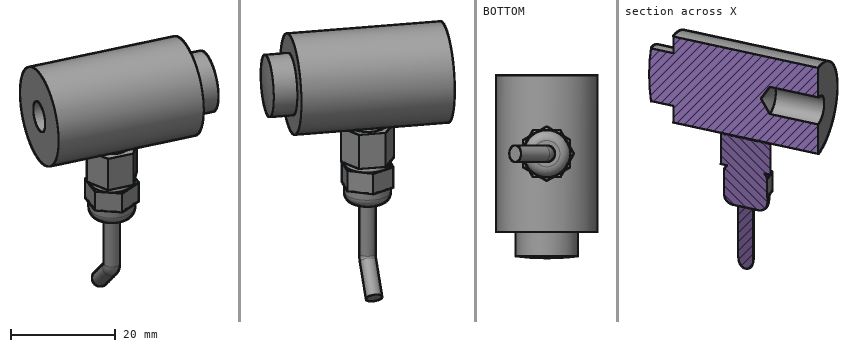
import cadquery as cq
import math

housing_diameter = 19.5
housing_length = 30.0
button_diameter = 12.0
button_length = 4.6
dome_height = 0.4
bore_diameter = 6.0
bore_depth = 10.0
bore_tip_angle = 118.0

gland_y = housing_length / 2
seat_top_radius = 3.1
seat_base_radius = 3.4
hex_across_flats = 9.0
fitting_height = 7.0
neck_top_radius = 3.85
neck_base_radius = 4.4
neck_height = 0.95
nut_height = 4.2
cap_diameter = 9.03
cap_height = 3.45
cap_rounding = 2.0

cable_diameter = 3.2
cable_bend_radius = 2.0
cable_bend_angle = 45.0
cable_tail_length = 7.7
cable_drop = 26.28

housing_bottom = -housing_diameter / 2
fitting_bottom = housing_bottom - fitting_height
nut_top = fitting_bottom - neck_height
nut_bottom = nut_top - nut_height
cap_bottom = nut_bottom - cap_height
bend_start = housing_bottom - cable_drop
seat_height = housing_diameter / 2 - math.sqrt((housing_diameter / 2) ** 2 - seat_base_radius ** 2)


def make_housing():
    """Cylinder with a domed button on its back and a drilled blind hole in its front."""
    button_end = housing_length + button_length
    bore_radius = bore_diameter / 2
    bore_tip = bore_depth + bore_radius / math.tan(math.radians(bore_tip_angle / 2))
    button_radius = button_diameter / 2
    dome_radius = (button_radius ** 2 + dome_height ** 2) / (2 * dome_height)
    dome_tip = button_end + dome_height
    half_radius = button_radius / 2
    half_y = dome_tip - dome_radius + math.sqrt(dome_radius ** 2 - half_radius ** 2)
    half_section = (
        cq.Workplane("XY")
        .moveTo(0, bore_tip)
        .lineTo(bore_radius, bore_depth)
        .lineTo(bore_radius, 0)
        .lineTo(housing_diameter / 2, 0)
        .lineTo(housing_diameter / 2, housing_length)
        .lineTo(button_radius, housing_length)
        .lineTo(button_radius, button_end)
        .threePointArc((half_radius, half_y), (0, dome_tip))
        .close()
    )
    return half_section.revolve(360, (0, 0, 0), (0, 1, 0))


def gland_plane(level):
    """Horizontal work plane centred on the gland axis."""
    return cq.Workplane("XY", origin=(0, gland_y, level))


def make_hexagon(bottom, height, turn):
    """Hexagonal prism on the gland axis, turned about it by the given angle."""
    corner_diameter = hex_across_flats / math.cos(math.pi / 6)
    return (
        gland_plane(bottom)
        .transformed(rotate=(0, 0, turn))
        .polygon(6, corner_diameter)
        .extrude(height)
    )


def make_seat(housing):
    """Tapered collar on top of the fitting, shaped to the underside of the housing."""
    base_centre = cq.Vector(0, gland_y, housing_bottom)
    cone = cq.Solid.makeCone(seat_base_radius, seat_top_radius, seat_height, pnt=base_centre)
    return cq.Workplane(obj=cone).cut(housing)


def make_neck():
    """Collar between fitting and nut, with a side that curves inward from a vertical base."""
    inset = neck_base_radius - neck_top_radius
    arc_radius = (neck_height ** 2 + inset ** 2) / (2 * inset)
    middle_height = neck_height / 2
    middle_radius = neck_base_radius - arc_radius + math.sqrt(arc_radius ** 2 - middle_height ** 2)
    half_section = (
        cq.Workplane("XZ", origin=(0, gland_y, nut_top))
        .lineTo(neck_base_radius, 0)
        .threePointArc((middle_radius, middle_height), (neck_top_radius, neck_height))
        .lineTo(0, neck_height)
        .close()
    )
    return half_section.revolve(360, (0, 0, 0), (0, 1, 0))


def make_gland(housing):
    """Seat, hexagonal fitting, curved neck, hexagonal nut and rounded cap in one piece."""
    seat = make_seat(housing)
    fitting = make_hexagon(fitting_bottom, fitting_height, 90)
    neck = make_neck()
    nut = make_hexagon(nut_bottom, nut_height, 0)
    cap = (
        gland_plane(cap_bottom)
        .circle(cap_diameter / 2)
        .extrude(cap_height)
        .faces("<Z")
        .edges()
        .fillet(cap_rounding)
    )
    return fitting.union(seat).union(neck).union(nut).union(cap)


def make_cable():
    """Round cable: a straight drop, a tight bend and a slanted tail."""
    bend = math.radians(cable_bend_angle)
    half_bend = bend / 2
    bend_middle = (
        -cable_bend_radius * (1 - math.cos(half_bend)),
        bend_start - cable_bend_radius * math.sin(half_bend),
    )
    bend_end = (
        -cable_bend_radius * (1 - math.cos(bend)),
        bend_start - cable_bend_radius * math.sin(bend),
    )
    tail_end = (
        bend_end[0] - cable_tail_length * math.sin(bend),
        bend_end[1] - cable_tail_length * math.cos(bend),
    )
    path = (
        cq.Workplane("XZ", origin=(0, gland_y, 0))
        .moveTo(0, cap_bottom)
        .lineTo(0, bend_start)
        .threePointArc(bend_middle, bend_end)
        .lineTo(*tail_end)
    )
    return gland_plane(cap_bottom).circle(cable_diameter / 2).sweep(path)


housing = make_housing()
gland = make_gland(housing)
cable = make_cable()

result = cq.Compound.makeCompound([housing.val(), gland.val(), cable.val()])